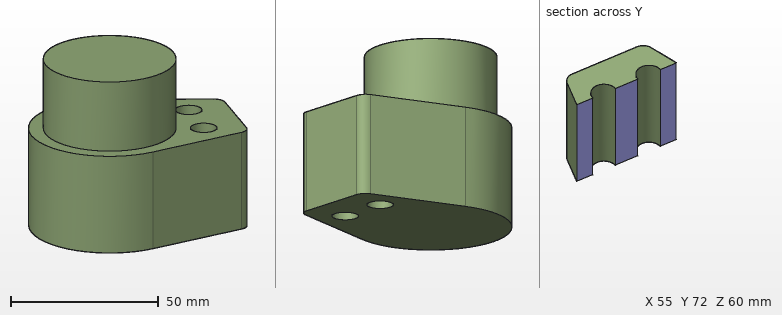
import cadquery as cq
import math

total_length = 72.0
body_radius = 27.5
body_height = 35.0
boss_diameter = 45.0
boss_height = 25.0
tail_half_width = 16.0
tail_corner_radius = 4.0
hole_diameter = 9.0
hole_spacing = 18.0
hole_y = 30.5

tail_y = total_length - body_radius

corner_distance = math.hypot(tail_half_width, tail_y)
corner_angle = math.atan2(tail_y, tail_half_width)
tangent_angle = corner_angle - math.acos(body_radius / corner_distance)
tangent_x = body_radius * math.cos(tangent_angle)
tangent_y = body_radius * math.sin(tangent_angle)


def make_body():
    """Round body tapering along tangent sides to a flat tail with rounded corners."""
    outline = (
        cq.Workplane("XY")
        .moveTo(tangent_x, tangent_y)
        .lineTo(tail_half_width, tail_y)
        .lineTo(-tail_half_width, tail_y)
        .lineTo(-tangent_x, tangent_y)
        .threePointArc((0, -body_radius), (tangent_x, tangent_y))
        .close()
    )
    body = outline.extrude(body_height)
    return body.edges("|Z").edges(">Y").fillet(tail_corner_radius)


def make_boss():
    """Cylinder standing on the body, centred on its round end."""
    return (
        cq.Workplane("XY")
        .workplane(offset=body_height)
        .circle(boss_diameter / 2)
        .extrude(boss_height)
    )


def make_holes():
    """Pair of cutters that pass through the tail."""
    hole_centres = [(side * hole_spacing / 2, hole_y) for side in (-1, 1)]
    return (
        cq.Workplane("XY")
        .pushPoints(hole_centres)
        .circle(hole_diameter / 2)
        .extrude(body_height)
    )


result = make_body().union(make_boss()).cut(make_holes())